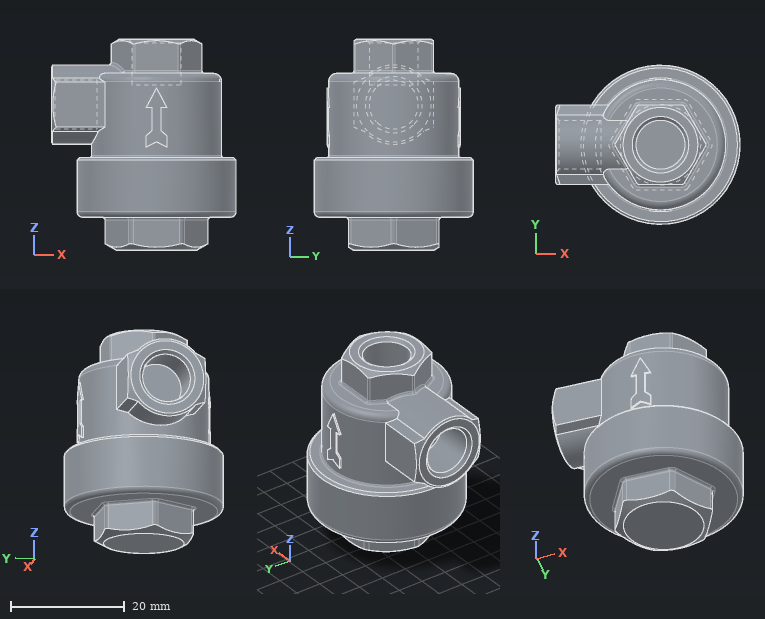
import cadquery as cq
import math

OVERALL_LENGTH = 32.5
TOTAL_HEIGHT = 37.1
COLLAR_BOTTOM = 5.8
COLLAR_TOP = 16.32
BODY_TOP = 31.13

COLLAR_RADIUS = 28.0 / 2
COLLAR_CHAMFER = 0.5
COLLAR_BOTTOM_FILLET = 1.0
BODY_RADIUS = 11.45
BODY_TOP_FILLET = 1.5
BODY_FOOT_FILLET = 0.3

TOP_HEX_FLATS = 14.0
TOP_HEX_EDGE_FILLET = 0.5
TOP_FACE_RADIUS = 6.55
BOTTOM_HEX_FLATS = 16.0
BOTTOM_HEX_EDGE_FILLET = 1.0
BOTTOM_FACE_RADIUS = 7.1
HEX_BASE_FILLET = 0.5
END_CONE_ANGLE = math.radians(30)

PORT_FACE_X = OVERALL_LENGTH - COLLAR_RADIUS
PORT_AXIS_Z = 25.6
PORT_RADIUS = TOP_HEX_FLATS / 2
PORT_CROWN_Z = PORT_AXIS_Z + PORT_RADIUS
PORT_FACE_RADIUS = TOP_FACE_RADIUS
PORT_FLAT_HALF_HEIGHT = 3.97
PORT_SHOULDER_Y = 5.2

BORE_RADIUS = 4.3
BORE_MOUTH_RADIUS = 4.97
BORE_DEPTH = 8.0

ARROW_RAISE = 0.3
ARROW_HALF_WIDTH = 1.8
ARROW_SHAFT_HALF_WIDTH = 0.8
ARROW_TIP_Z = 28.53
ARROW_HEAD_Z = 25.08
ARROW_SHAFT_END_Z = 21.05
ARROW_TAIL_TOP_Z = 20.1
ARROW_NOTCH_Z = 19.07
ARROW_TAIL_Z = 18.15

EDGE_TOLERANCE = 0.02


def corner_radius_of_hex(across_flats):
    return across_flats / 2 / math.cos(math.pi / 6)


def edges_within(radius, bottom, top):
    """Selector for edges lying wholly between two heights and inside a square of half-side radius."""
    reach = radius + EDGE_TOLERANCE
    return cq.selectors.BoxSelector(
        (-reach, -reach, bottom - EDGE_TOLERANCE),
        (reach, reach, top + EDGE_TOLERANCE),
        boundingbox=True,
    )


def coned_blank(face_radius, base_radius, length):
    """Round blank whose face at z = length is bevelled by a cone down to base_radius."""
    cone_height = (base_radius - face_radius) * math.tan(END_CONE_ANGLE)
    return (
        cq.Workplane("XZ")
        .polyline([
            (0, 0),
            (base_radius, 0),
            (base_radius, length - cone_height),
            (face_radius, length),
            (0, length),
        ])
        .close()
        .revolve(360, (0, 0, 0), (0, 1, 0))
    )


def hex_end(across_flats, edge_fillet, face_radius, length):
    """Hexagon from z = 0 to z = length, flats facing Y, with its outer face coned."""
    corner_radius = corner_radius_of_hex(across_flats)
    prism = (
        cq.Workplane("XY")
        .polygon(6, 2 * corner_radius)
        .extrude(length)
        .edges("|Z")
        .fillet(edge_fillet)
    )
    return prism.intersect(coned_blank(face_radius, corner_radius, length))


def port_frame(solid):
    """Turn a solid built up the Z axis so that it points along -X from the port axis."""
    return solid.rotate((0, 0, 0), (0, 1, 0), -90).translate((0, 0, PORT_AXIS_Z))


def collar():
    """Wide ring, chamfered above and rounded below."""
    return (
        cq.Workplane("XY", origin=(0, 0, COLLAR_BOTTOM))
        .circle(COLLAR_RADIUS)
        .extrude(COLLAR_TOP - COLLAR_BOTTOM)
        .faces(">Z").edges().chamfer(COLLAR_CHAMFER)
        .faces("<Z").edges().fillet(COLLAR_BOTTOM_FILLET)
    )


def body():
    """Barrel with a rounded top, blended at its foot into the collar."""
    barrel = (
        cq.Workplane("XY", origin=(0, 0, COLLAR_TOP))
        .circle(BODY_RADIUS)
        .extrude(BODY_TOP - COLLAR_TOP)
        .faces(">Z").edges().fillet(BODY_TOP_FILLET)
    )
    foot_circle = edges_within(BODY_RADIUS, COLLAR_TOP, COLLAR_TOP)
    return collar().union(barrel).edges(foot_circle).fillet(BODY_FOOT_FILLET)


def side_port():
    """Round port with a flat wrench pad on each side, coned at its open face."""
    shoulder_height = math.sqrt(PORT_RADIUS**2 - PORT_SHOULDER_Y**2)
    upper_half = [
        (PORT_FLAT_HALF_HEIGHT, PORT_RADIUS),
        (shoulder_height, PORT_SHOULDER_Y),
        (shoulder_height, -PORT_SHOULDER_Y),
        (PORT_FLAT_HALF_HEIGHT, -PORT_RADIUS),
    ]
    lower_half = [(-height, y) for height, y in reversed(upper_half)]
    pads = (
        cq.Workplane("XY")
        .polyline(upper_half + lower_half)
        .close()
        .extrude(PORT_FACE_X)
    )
    barrel = cq.Workplane("XY").circle(PORT_RADIUS).extrude(PORT_FACE_X)
    corner_radius = math.hypot(PORT_RADIUS, PORT_FLAT_HALF_HEIGHT)
    blank = coned_blank(PORT_FACE_RADIUS, corner_radius, PORT_FACE_X)
    return port_frame(barrel.union(pads).intersect(blank))


def port_bore(face_height):
    """Blind bore with a 45 degree mouth, sunk from z = face_height."""
    mouth_depth = BORE_MOUTH_RADIUS - BORE_RADIUS
    return (
        cq.Workplane("XZ")
        .polyline([
            (0, face_height),
            (BORE_MOUTH_RADIUS, face_height),
            (BORE_RADIUS, face_height - mouth_depth),
            (BORE_RADIUS, face_height - BORE_DEPTH),
            (0, face_height - BORE_DEPTH),
        ])
        .close()
        .revolve(360, (0, 0, 0), (0, 1, 0))
    )


def arrows():
    """Upward arrows cut from a thin sleeve around the body, on both Y sides."""
    right_side = [
        (ARROW_HALF_WIDTH, ARROW_HEAD_Z),
        (ARROW_SHAFT_HALF_WIDTH, ARROW_HEAD_Z),
        (ARROW_SHAFT_HALF_WIDTH, ARROW_SHAFT_END_Z),
        (ARROW_HALF_WIDTH, ARROW_TAIL_TOP_Z),
        (ARROW_HALF_WIDTH, ARROW_TAIL_Z),
    ]
    left_side = [(-x, z) for x, z in reversed(right_side)]
    outline = [(0, ARROW_TIP_Z)] + right_side + [(0, ARROW_NOTCH_Z)] + left_side
    sleeve = (
        cq.Workplane("XY", origin=(0, 0, COLLAR_TOP))
        .circle(BODY_RADIUS + ARROW_RAISE)
        .extrude(BODY_TOP - COLLAR_TOP)
    )
    return (
        cq.Workplane("XZ")
        .polyline(outline)
        .close()
        .extrude(COLLAR_RADIUS, both=True)
        .intersect(sleeve)
    )


def top_hexagon():
    """Top hexagon, rooted at the port axis so that it also meets the crown of the side port."""
    length = TOTAL_HEIGHT - PORT_AXIS_Z
    hexagon = hex_end(TOP_HEX_FLATS, TOP_HEX_EDGE_FILLET, TOP_FACE_RADIUS, length)
    return hexagon.translate((0, 0, PORT_AXIS_Z))


def bottom_hexagon():
    """Bottom hexagon, rooted in the collar and pointing down to z = 0."""
    hexagon = hex_end(BOTTOM_HEX_FLATS, BOTTOM_HEX_EDGE_FILLET, BOTTOM_FACE_RADIUS, COLLAR_TOP)
    return hexagon.rotate((0, 0, 0), (1, 0, 0), 180).translate((0, 0, COLLAR_TOP))


def housing():
    """All outer shapes joined, with fillets around the base of both hexagons."""
    joined = body().union(side_port()).union(top_hexagon()).union(bottom_hexagon())
    top_base = edges_within(corner_radius_of_hex(TOP_HEX_FLATS), BODY_TOP, PORT_CROWN_Z)
    bottom_base = edges_within(corner_radius_of_hex(BOTTOM_HEX_FLATS), COLLAR_BOTTOM, COLLAR_BOTTOM)
    return joined.edges(top_base).fillet(HEX_BASE_FILLET).edges(bottom_base).fillet(HEX_BASE_FILLET)


result = (
    housing()
    .union(arrows())
    .cut(port_bore(TOTAL_HEIGHT))
    .cut(port_frame(port_bore(PORT_FACE_X)))
)